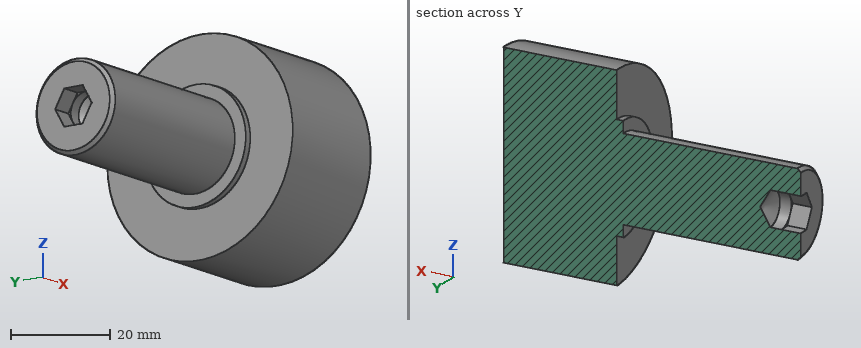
import cadquery as cq
import math

overall_length = 68.1
roller_diameter = 47.0
roller_width = 26.0
collar_diameter = 25.5
collar_width = 1.5
stud_diameter = 20.0
stud_length = overall_length - roller_width - collar_width
stud_chamfer = 0.8

socket_across_flats = 8.0
socket_depth = 4.4
pilot_diameter = socket_across_flats
pilot_depth = 7.0
drill_point_angle = 120.0

collar_start = stud_length
roller_start = collar_start + collar_width


def cylinder_along_x(start, length, diameter):
    """Solid cylinder on the X axis, running in +X from start."""
    return cq.Workplane("YZ", origin=(start, 0, 0)).circle(diameter / 2).extrude(length)


def make_stud():
    """Plain stud with a chamfered free end."""
    stud = cylinder_along_x(0, stud_length, stud_diameter)
    return stud.faces("<X").edges().chamfer(stud_chamfer)


def make_socket_cutter():
    """Hexagonal prism with corners on +/-Y."""
    across_corners = socket_across_flats / math.cos(math.radians(30))
    return cq.Workplane("YZ").polygon(6, across_corners).extrude(socket_depth)


def make_pilot_cutter():
    """Drilled hole from the free end, ending in a drill-point cone."""
    radius = pilot_diameter / 2
    cone_height = radius / math.tan(math.radians(drill_point_angle / 2))
    profile = (
        cq.Workplane("XY")
        .moveTo(0, 0)
        .lineTo(0, radius)
        .lineTo(pilot_depth, radius)
        .lineTo(pilot_depth + cone_height, 0)
        .close()
    )
    return profile.revolve(360, (0, 0, 0), (1, 0, 0))


collar = cylinder_along_x(collar_start, collar_width, collar_diameter)
roller = cylinder_along_x(roller_start, roller_width, roller_diameter)

body = make_stud().union(collar).union(roller)

result = body.cut(make_socket_cutter()).cut(make_pilot_cutter())